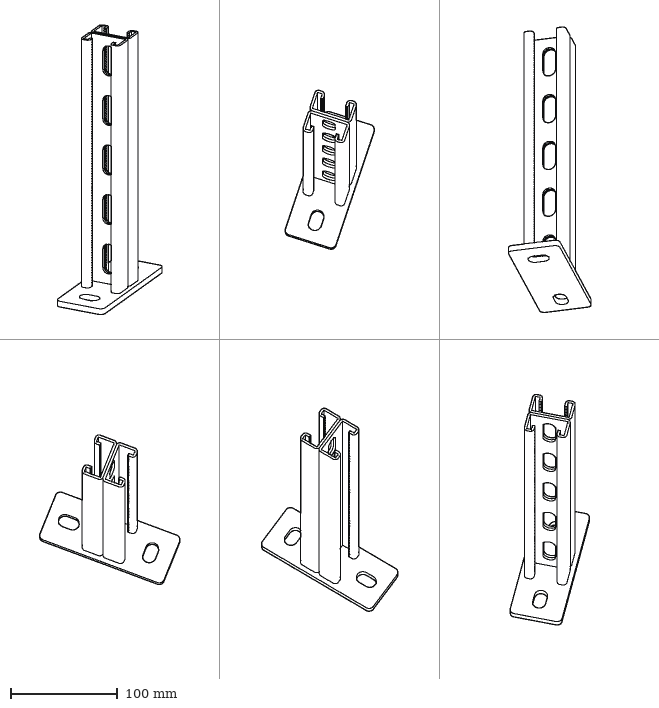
import cadquery as cq

TOTAL_HEIGHT = 256.0

PLATE_WIDTH = 50.0
PLATE_LENGTH = 125.0
PLATE_THICKNESS = 6.0
PLATE_CORNER_RADIUS = 4.9
PLATE_SLOT_LENGTH = 20.0
PLATE_SLOT_WIDTH = 12.3
PLATE_SLOT_EDGE_DISTANCE = 21.2

CHANNEL_WIDTH = 41.0
CHANNEL_DEPTH = 21.0
WALL = 2.48
OUTER_BEND_RADIUS = 3.5
RETURN_WIDTH = 9.5
LIP_LENGTH = 7.2
CHANNEL_HEIGHT = TOTAL_HEIGHT - PLATE_THICKNESS

TOOTH_COUNT = 100
TOOTH_PITCH = CHANNEL_HEIGHT / TOOTH_COUNT
TOOTH_DEPTH = 0.8

WEB_SLOT_COUNT = 5
WEB_SLOT_LENGTH = 30.0
WEB_SLOT_WIDTH = 12.3
WEB_SLOT_PITCH = CHANNEL_HEIGHT / WEB_SLOT_COUNT


def make_base_plate():
    """Flat plate with rounded corners and two slots at right angles to each other."""
    plate = (
        cq.Workplane("XY")
        .rect(PLATE_WIDTH, PLATE_LENGTH)
        .extrude(PLATE_THICKNESS)
        .edges("|Z")
        .fillet(PLATE_CORNER_RADIUS)
    )
    slot_y = PLATE_LENGTH / 2 - PLATE_SLOT_EDGE_DISTANCE
    for y, angle in ((slot_y, 90), (-slot_y, 0)):
        slot = (
            cq.Workplane("XY")
            .center(0, y)
            .slot2D(PLATE_SLOT_LENGTH, PLATE_SLOT_WIDTH, angle)
            .extrude(PLATE_THICKNESS)
        )
        plate = plate.cut(slot)
    return plate


def channel_profile():
    """Closed section of the channel, open towards +Y, bent from sheet of one thickness."""
    half_width = CHANNEL_WIDTH / 2
    half_mouth = half_width - RETURN_WIDTH
    lip_tip = CHANNEL_DEPTH - LIP_LENGTH
    outer_half = [
        (half_width, 0),
        (half_width, CHANNEL_DEPTH),
        (half_mouth, CHANNEL_DEPTH),
        (half_mouth, lip_tip),
    ]
    inner_half = [
        (half_mouth + WALL, lip_tip),
        (half_mouth + WALL, CHANNEL_DEPTH - WALL),
        (half_width - WALL, CHANNEL_DEPTH - WALL),
        (half_width - WALL, WALL),
    ]
    right_half = outer_half + inner_half
    left_half = [(-x, y) for x, y in reversed(right_half)]
    return right_half + left_half


def round_outer_bends(channel):
    """Round the outside of the six bends; their inside corners stay sharp."""
    flange_x = CHANNEL_WIDTH / 2
    lip_x = flange_x - RETURN_WIDTH
    mid_z = PLATE_THICKNESS + CHANNEL_HEIGHT / 2
    for x, y in ((flange_x, 0), (flange_x, CHANNEL_DEPTH), (lip_x, CHANNEL_DEPTH)):
        for mirrored_x in (-x, x):
            corner = cq.selectors.NearestToPointSelector((mirrored_x, y, mid_z))
            channel = channel.edges("|Z").edges(corner).fillet(OUTER_BEND_RADIUS)
    return channel


def make_lip_notches():
    """Row of V-notches across both lips, which leaves saw teeth along the lip tips."""
    tip_y = CHANNEL_DEPTH - LIP_LENGTH
    root_y = tip_y + TOOTH_DEPTH
    outline = [(tip_y, PLATE_THICKNESS)]
    for index in range(TOOTH_COUNT):
        notch_bottom_z = PLATE_THICKNESS + index * TOOTH_PITCH
        outline.append((root_y, notch_bottom_z + TOOTH_PITCH / 2))
        outline.append((tip_y, notch_bottom_z + TOOTH_PITCH))
    outline.append((tip_y - TOOTH_DEPTH, TOTAL_HEIGHT))
    outline.append((tip_y - TOOTH_DEPTH, PLATE_THICKNESS))
    half_span = CHANNEL_WIDTH / 2 - RETURN_WIDTH + WALL
    return cq.Workplane("YZ").polyline(outline).close().extrude(half_span, both=True)


def make_channel():
    """Lipped channel standing on the base plate, with a row of slots through its web."""
    channel = (
        cq.Workplane("XY", origin=(0, 0, PLATE_THICKNESS))
        .polyline(channel_profile())
        .close()
        .extrude(CHANNEL_HEIGHT)
    )
    channel = round_outer_bends(channel)
    channel = channel.cut(make_lip_notches())

    first_slot_z = PLATE_THICKNESS + WEB_SLOT_PITCH / 2
    for index in range(WEB_SLOT_COUNT):
        slot = (
            cq.Workplane("XZ", origin=(0, 0, first_slot_z + index * WEB_SLOT_PITCH))
            .slot2D(WEB_SLOT_LENGTH, WEB_SLOT_WIDTH, 90)
            .extrude(-WALL)
        )
        channel = channel.cut(slot)
    return channel


base_plate = make_base_plate()

channels = []
for turn in (0, 180):
    channel = make_channel().rotate((0, 0, 0), (0, 0, 1), turn)
    channels.append(channel.val())

result = cq.Compound.makeCompound([base_plate.val(), *channels])